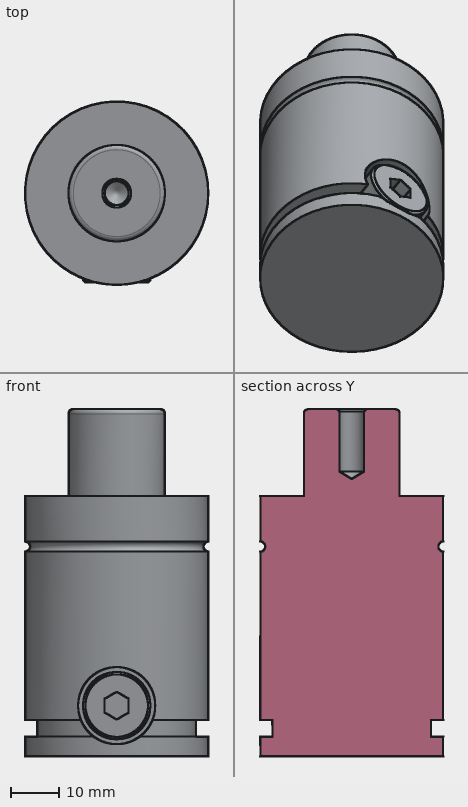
import cadquery as cq
import math

body_diameter = 38.0
body_height = 54.0
body_radius = body_diameter / 2

base_flange_height = 4.1
base_groove_top = 7.5
base_groove_diameter = 33.0

round_groove_height = 43.5
round_groove_radius = 1.0

total_height = 72.0
rod_diameter = 20.0
rod_fillet = 1.0

hole_diameter = 5.0
hole_depth = 12.95
hole_chamfer = 0.5
drill_point_angle = 118.0

plug_height = 10.5
recess_diameter = 16.0
recess_floor_radius = 12.95
plug_diameter = 14.0
plug_face_radius = 18.5
plug_chamfer = 0.5
hex_across_flats = 5.0
hex_depth = 4.0


def make_body():
    body = cq.Workplane("XY").circle(body_radius).extrude(body_height)
    base_groove = (
        cq.Workplane("XY", origin=(0, 0, base_flange_height))
        .circle(body_radius)
        .circle(base_groove_diameter / 2)
        .extrude(base_groove_top - base_flange_height)
    )
    round_groove = (
        cq.Workplane("XZ")
        .center(body_radius, round_groove_height)
        .circle(round_groove_radius)
        .revolve(360, (-body_radius, 0), (-body_radius, 1))
    )
    return body.cut(base_groove).cut(round_groove)


def make_rod():
    rod = cq.Workplane("XY").circle(rod_diameter / 2).extrude(total_height)
    return rod.faces(">Z").edges().fillet(rod_fillet)


def make_rod_hole():
    """Blind hole with a chamfered mouth and a conical drill point."""
    radius = hole_diameter / 2
    point_length = radius / math.tan(math.radians(drill_point_angle / 2))
    hole_bottom = total_height - hole_depth
    return (
        cq.Workplane("XZ")
        .moveTo(0, total_height)
        .lineTo(radius + hole_chamfer, total_height)
        .lineTo(radius, total_height - hole_chamfer)
        .lineTo(radius, hole_bottom)
        .lineTo(0, hole_bottom - point_length)
        .close()
        .revolve(360, (0, 0), (0, 1))
    )


def plug_plane(distance):
    """Plane facing -Y on the plug axis, at a distance from the body axis."""
    return cq.Workplane("XZ", origin=(0, -distance, plug_height))


def make_recess():
    return (
        plug_plane(recess_floor_radius)
        .circle(recess_diameter / 2)
        .extrude(body_radius - recess_floor_radius)
    )


def make_plug():
    plug = (
        plug_plane(recess_floor_radius)
        .circle(plug_diameter / 2)
        .extrude(plug_face_radius - recess_floor_radius)
        .faces("<Y")
        .edges()
        .chamfer(plug_chamfer)
    )
    hex_across_corners = hex_across_flats / math.cos(math.pi / 6)
    socket = (
        plug_plane(plug_face_radius - hex_depth)
        .transformed(rotate=(0, 0, 90))
        .polygon(6, hex_across_corners)
        .extrude(hex_depth)
    )
    return plug.cut(socket)


cylinder = make_body().union(make_rod()).cut(make_rod_hole())
result = cylinder.cut(make_recess()).union(make_plug())